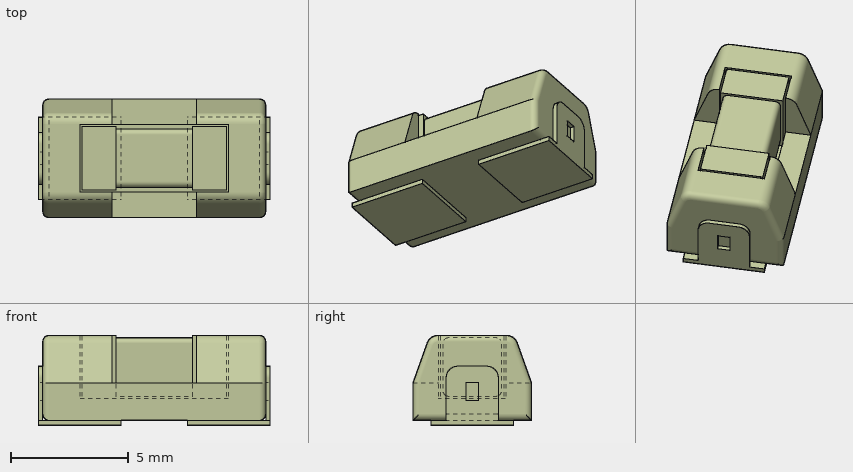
import cadquery as cq

total_length = 9.83
width = 5.03
height = 3.81

metal = 0.19
pad_thickness = 0.21
pad_length = 3.51
pad_width = 3.5
tab_width = 2.21
tab_top = 2.51
tab_corner_radius = 0.49
window_width = 0.53
window_bottom = 1.05
window_top = 1.82

housing_length = total_length - 2 * metal
shoulder_height = 1.8
roof_width = 3.6
roof_edge_radius = 0.49
end_edge_radius = 0.27
side_notch_length = 3.6
pocket_length = 6.31
pocket_width = 2.86

pocket_clearance = 0.09
cap_outer_x = pocket_length / 2 - pocket_clearance
cap_inner_x = 1.61
cap_width = pocket_width - 2 * pocket_clearance
pocket_floor = height - cap_width
fuse_step = 0.1
fuse_width = cap_width - 2 * fuse_step
fuse_top = height - fuse_step
fuse_bottom = pocket_floor + fuse_step
fuse_edge_radius = 0.25


def block(x_min, x_max, y_size, z_min, z_max):
    """Box between two X and two Z positions, centred on Y."""
    return (
        cq.Workplane("XY")
        .box(x_max - x_min, y_size, z_max - z_min, centered=(False, True, False))
        .translate((x_min, 0, z_min))
    )


def make_housing():
    """Tapered body with rounded edges, open in the middle above the shoulders."""
    body = (
        cq.Workplane("YZ")
        .polyline([
            (-width / 2, pad_thickness),
            (width / 2, pad_thickness),
            (width / 2, shoulder_height),
            (roof_width / 2, height),
            (-roof_width / 2, height),
            (-width / 2, shoulder_height),
        ])
        .close()
        .extrude(housing_length / 2, both=True)
    )
    body = body.edges("|X and >Z").fillet(roof_edge_radius)
    body = body.faces("<X or >X").edges().fillet(end_edge_radius)
    notch = block(-side_notch_length / 2, side_notch_length / 2, width, shoulder_height, height)
    pocket = block(-pocket_length / 2, pocket_length / 2, pocket_width, pocket_floor, height)
    return body.cut(notch).cut(pocket)


def make_fuse():
    """Rounded fuse body between two square end caps, standing on the pocket floor."""
    fuse = block(-cap_inner_x, cap_inner_x, fuse_width, fuse_bottom, fuse_top)
    fuse = fuse.edges("|X").fillet(fuse_edge_radius)
    cap = block(cap_inner_x, cap_outer_x, cap_width, pocket_floor, height)
    return fuse.union(cap).union(cap.mirror("YZ"))


def make_terminal():
    """Solder pad under the +X end with a windowed tab rising against the end face."""
    outer_x = total_length / 2
    inner_x = housing_length / 2
    pad = block(outer_x - pad_length, outer_x, pad_width, 0, pad_thickness)
    tab = block(inner_x, outer_x, tab_width, 0, tab_top)
    tab = tab.edges("|X and >Z").fillet(tab_corner_radius)
    window = block(inner_x, outer_x, window_width, window_bottom, window_top)
    return pad.union(tab.cut(window))


terminal = make_terminal()
result = make_housing().union(make_fuse()).union(terminal).union(terminal.mirror("YZ"))